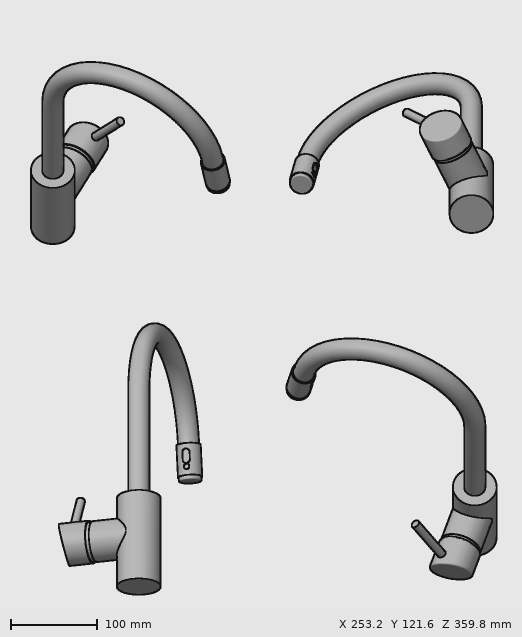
import cadquery as cq
import math

column_dia = 50.7
column_height = 110.0
arm_dia = 48.0
arm_end_y = 53.3
arm_axis_z = 62.0

collar_dia = 46.5
collar_length = 4.3

cap_dia = 50.0
cap_tip_y = 96.8
cap_slant = 15.0
cap_edge_fillet = 1.8
cap_start_y = arm_end_y + collar_length
cap_length = cap_tip_y - cap_start_y
handle_turn = 32.5

lever_dia = 10.0
lever_y = 82.8
lever_reach = 84.5
lever_socket_depth = 7.2

total_height = 359.8
spout_dia = 25.0
bend_radius = 104.0
bend_sweep = 170.0
spout_end_length = 5.0
bend_centre_z = total_height - spout_dia / 2 - bend_radius

head_dia = 28.5
head_length = 42.8
nose_dia = 26.5
nose_length = 5.0
nose_fillet = 1.5

pocket_depth = 1.8
slot_length = 17.3
slot_width = 8.5
slot_centre = 15.0
dimple_dia = 6.5
dimple_centre = 27.7


def cylinder_along_y(diameter, start_y, length):
    plane = cq.Plane(origin=(0, start_y, arm_axis_z), xDir=(1, 0, 0), normal=(0, 1, 0))
    return cq.Workplane(plane).circle(diameter / 2).extrude(length)


def turn_handle(part):
    return part.rotate((0, 0, arm_axis_z), (0, 1, arm_axis_z), handle_turn)


def make_housing():
    column = cq.Workplane("XY").circle(column_dia / 2).extrude(column_height)
    return column.union(cylinder_along_y(arm_dia, 0, arm_end_y))


def make_collar():
    return cylinder_along_y(collar_dia, arm_end_y, collar_length)


def make_lever():
    socket_floor = cap_dia / 2 - lever_socket_depth
    lever = (
        cq.Workplane("XY", origin=(0, lever_y, arm_axis_z + socket_floor))
        .circle(lever_dia / 2)
        .extrude(lever_reach - socket_floor)
    )
    return turn_handle(lever)


def make_cap(lever):
    radius = cap_dia / 2
    low_side_y = cap_tip_y - cap_dia * math.tan(math.radians(cap_slant))
    side_profile = (
        cq.Workplane("YZ", origin=(-radius, 0, arm_axis_z))
        .polyline([(cap_start_y, -radius), (low_side_y, -radius), (cap_tip_y, radius), (cap_start_y, radius)])
        .close()
        .extrude(cap_dia)
    )
    cap = cylinder_along_y(cap_dia, cap_start_y, cap_length).intersect(side_profile)
    cap = cap.faces(">Y").edges().fillet(cap_edge_fillet)
    return turn_handle(cap).cut(lever)


def spout_end_plane():
    """Plane at the end of the bend, facing along the outflow, with its x axis away from the bend centre."""
    end_angle = math.radians(180 - bend_sweep)
    outward = cq.Vector(math.cos(end_angle), 0, math.sin(end_angle))
    outflow = cq.Vector(math.sin(end_angle), 0, -math.cos(end_angle))
    end = cq.Vector(bend_radius, 0, bend_centre_z) + outward * bend_radius
    return cq.Plane(origin=end, xDir=outward, normal=outflow)


def make_spout():
    riser = (
        cq.Workplane("XY", origin=(0, 0, column_height))
        .circle(spout_dia / 2)
        .extrude(bend_centre_z - column_height)
    )
    bend = (
        cq.Workplane("XY", origin=(0, 0, bend_centre_z))
        .circle(spout_dia / 2)
        .revolve(bend_sweep, (bend_radius, 0, 0), (bend_radius, 1, 0))
    )
    end = cq.Workplane(spout_end_plane()).circle(spout_dia / 2).extrude(spout_end_length)
    return riser.union(bend).union(end)


def plane_along_head(distance):
    """Plane across the head axis, at a distance below the top of the head."""
    end = spout_end_plane()
    return cq.Plane(
        origin=end.origin + end.zDir * (spout_end_length + distance),
        xDir=end.xDir,
        normal=end.zDir,
    )


def pocket_floor_plane(distance):
    """Floor plane of a side pocket centred at a distance below the top of the head, facing the riser."""
    across = plane_along_head(distance)
    return cq.Plane(
        origin=across.origin - across.xDir * (head_dia / 2 - pocket_depth),
        xDir=across.zDir,
        normal=-across.xDir,
    )


def make_head():
    barrel_length = head_length - nose_length
    barrel = cq.Workplane(plane_along_head(0)).circle(head_dia / 2).extrude(barrel_length)
    nose = cq.Workplane(plane_along_head(barrel_length)).circle(nose_dia / 2).extrude(nose_length)
    nose = nose.faces("<Z").edges().fillet(nose_fillet)
    slot = (
        cq.Workplane(pocket_floor_plane(slot_centre))
        .slot2D(slot_length, slot_width)
        .extrude(head_dia / 2)
    )
    dimple = (
        cq.Workplane(pocket_floor_plane(dimple_centre))
        .circle(dimple_dia / 2)
        .extrude(head_dia / 2)
    )
    return barrel.union(nose).cut(slot).cut(dimple)


housing = make_housing()
collar = make_collar()
lever = make_lever()
cap = make_cap(lever)
spout = make_spout()
head = make_head()

result = cq.Compound.makeCompound(
    [housing.val(), collar.val(), cap.val(), lever.val(), spout.val(), head.val()]
)